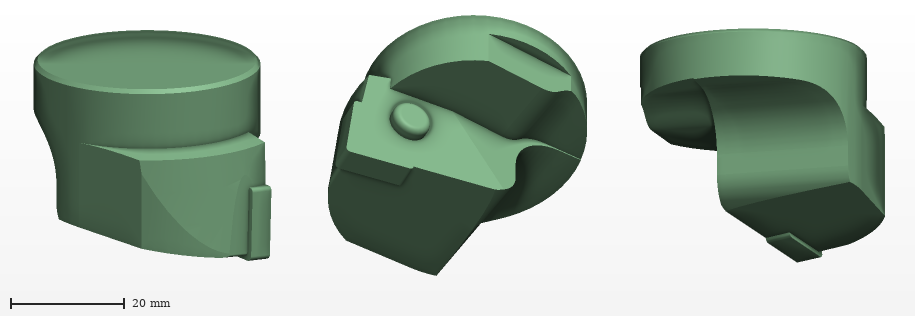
import cadquery as cq
import math


FAR = 70.3

disk_radius = 19.99
disk_chamfer = 0.7
drum_depth = 37.5

rim_depth = 8.5
underside_angle = 5.0
wall_x = -5.6
throat_radius = 10.2
throat_center_z = -19.2
heel_radius = 6.0
heel_center_z = -22.85

rear_wall_y = 4.95
rear_floor_z = -13.25
back_wall_y = 18.0
back_step_z = -5.7
rear_throat_x = -12.37
rear_throat_z = -17.5
rear_throat_radius = 8.45
rear_round_radius = 5.0

shoulder_z = -10.7
shoulder_radius = 24.0
shoulder_drop = 1.05
flare_angle = 6.3
side_center = (5.35, -1.3)
side_radius = 20.5
side_middle_angle = -35.0

nose = (26.95, 0.05, -32.1)
rake_slope_x = 0.148
rake_slope_z = 0.11
edge_drop = 0.1
insert_side = 13.05
insert_angle = 80.0
insert_thickness = 4.7
insert_corner_radius = 0.8
lower_overhang = 0.75
flank_overhang = 1.0
clearance_taper = 0.6
holder_nose_radius = 0.45

clamp_radius = 3.55
clamp_height = 2.5
clamp_fillet = 1.15
clamp_setback = 16.4

insert_plane = cq.Plane(
    origin=nose,
    xDir=(1, -rake_slope_x - rake_slope_z * edge_drop, -edge_drop),
    normal=(-rake_slope_x, -1, rake_slope_z),
)


def slab(x_range, y_range, z_range):
    """Axis-aligned block between the given limits."""
    corners = list(zip(x_range, y_range, z_range))
    size = [high - low for low, high in zip(*corners)]
    return cq.Workplane("XY").box(*size, centered=False).translate(corners[0])


def on_circle(center, radius, degrees):
    angle = math.radians(degrees)
    return (center[0] + radius * math.cos(angle), center[1] + radius * math.sin(angle))


def extrude_along_y(sketch, y_low, y_high):
    """Extrude an XZ sketch, whose normal is -Y, between two Y positions."""
    return sketch.extrude(y_high - y_low).translate((0, y_high, 0))


def rhombus(start_depth, side, lower_inset=0, flank_inset=0):
    """Outline at a depth below the rake face; the insets move the two cutting edges inwards."""
    angle = math.radians(insert_angle)
    corner_x = -(flank_inset + lower_inset * math.cos(angle)) / math.sin(angle)
    lean = -side * math.cos(angle)
    rise = side * math.sin(angle)
    points = [(0, 0), (lean, rise), (lean - side, rise), (-side, 0)]
    outline = [(x + corner_x, y + lower_inset) for x, y in points]
    return cq.Workplane(insert_plane).workplane(offset=start_depth).polyline(outline).close()


def make_insert():
    prism = rhombus(0, insert_side).extrude(insert_thickness)
    return prism.edges(cq.selectors.ParallelDirSelector(insert_plane.zDir)).fillet(insert_corner_radius)


def make_clearance():
    """Tapered prism inside which the holder stays, set back from the insert's cutting edges."""
    start_depth = -FAR / 2
    taper_slope = math.tan(math.radians(clearance_taper))
    taper_gain = (insert_thickness - start_depth) * taper_slope
    insets = (lower_overhang - taper_gain, flank_overhang - taper_gain)
    prism = rhombus(start_depth, 2 * FAR, *insets).extrude(FAR, taper=clearance_taper)
    return prism.edges(cq.selectors.NearestToPointSelector(nose)).fillet(holder_nose_radius)


def make_disk():
    drum = cq.Workplane("XY").circle(disk_radius).extrude(-drum_depth)
    return drum.faces(">Z").chamfer(disk_chamfer)


def make_block():
    """Block beside the drum: a flared turned body trimmed by a flat front and a round side."""
    rim_z = shoulder_z - shoulder_drop
    foot_radius = shoulder_radius + (drum_depth + rim_z) * math.tan(math.radians(flare_angle))
    turned = (
        cq.Workplane("XZ")
        .moveTo(0, shoulder_z)
        .lineTo(disk_radius, shoulder_z)
        .lineTo(shoulder_radius, rim_z)
        .lineTo(foot_radius, -drum_depth)
        .lineTo(0, -drum_depth)
        .close()
        .revolve(360, (0, 0, 0), (0, 1, 0))
    )
    side_x, side_y = side_center
    side_middle = on_circle(side_center, side_radius, side_middle_angle)
    front_x = side_x + math.sqrt(side_radius**2 - (disk_radius + side_y) ** 2)
    outline = (
        cq.Workplane("XY")
        .moveTo(0, -disk_radius)
        .lineTo(front_x, -disk_radius)
        .threePointArc(side_middle, (side_x + side_radius, side_y))
        .lineTo(side_x + side_radius, rear_wall_y)
        .lineTo(0, rear_wall_y)
        .close()
        .extrude(-drum_depth)
    )
    rake_side = cq.Workplane(insert_plane).rect(2 * FAR, 2 * FAR).extrude(FAR)
    return turned.intersect(outline).intersect(rake_side)


def underside_z(x):
    return -rim_depth - (x + disk_radius) * math.tan(math.radians(underside_angle))


def start_underside(throat_start):
    """Sketch from far left of the rim along the sloped underside to the throat."""
    left = -FAR
    return (
        cq.Workplane("XZ")
        .moveTo(left, 0)
        .lineTo(left, underside_z(left))
        .lineTo(*throat_start)
    )


def make_front_profile():
    throat = (wall_x - throat_radius, throat_center_z)
    heel = (wall_x + heel_radius, heel_center_z)
    heel_end = on_circle(heel, heel_radius, 270 - underside_angle)
    toe_z = heel_end[1] - (FAR - heel_end[0]) * math.tan(math.radians(underside_angle))
    sketch = (
        start_underside(on_circle(throat, throat_radius, 90 - underside_angle))
        .threePointArc(on_circle(throat, throat_radius, 45), (wall_x, throat_center_z))
        .lineTo(wall_x, heel_center_z)
        .threePointArc(on_circle(heel, heel_radius, 225), heel_end)
        .lineTo(FAR, toe_z)
        .lineTo(FAR, 0)
        .close()
    )
    return extrude_along_y(sketch, -FAR, rear_wall_y)


def make_rear_profile():
    """Rear part: a throat that rolls over into a flat floor."""
    throat = (rear_throat_x, rear_throat_z)
    round_z = rear_floor_z + rear_round_radius
    reach = rear_throat_radius + rear_round_radius
    turn = math.degrees(math.asin((round_z - rear_throat_z) / reach))
    round_center = on_circle(throat, reach, turn)
    middle = (90 - underside_angle + turn) / 2
    sketch = (
        start_underside(on_circle(throat, rear_throat_radius, 90 - underside_angle))
        .threePointArc(
            on_circle(throat, rear_throat_radius, middle),
            on_circle(throat, rear_throat_radius, turn),
        )
        .threePointArc(
            on_circle(round_center, rear_round_radius, (turn + 180 + 270) / 2),
            (round_center[0], rear_floor_z),
        )
        .lineTo(FAR, rear_floor_z)
        .lineTo(FAR, 0)
        .close()
    )
    return extrude_along_y(sketch, rear_wall_y, FAR)


def make_clamp():
    """Round clamp head behind the insert, on the bisector of its nose."""
    bisector = math.radians(180 - insert_angle / 2)
    center = (clamp_setback * math.cos(bisector), clamp_setback * math.sin(bisector))
    head = cq.Workplane(insert_plane).center(*center).circle(clamp_radius).extrude(-clamp_height)
    top = cq.selectors.DirectionMinMaxSelector(insert_plane.zDir, directionMax=False)
    return head.faces(top).edges().fillet(clamp_fillet)


def make_holder(insert):
    profile = make_front_profile().union(make_rear_profile())
    body = make_disk().union(make_block()).intersect(profile)
    back_step = slab((-FAR, FAR), (back_wall_y, FAR), (-FAR, back_step_z))
    rake_relief = cq.Workplane(insert_plane).rect(2 * FAR, 2 * FAR).extrude(-FAR)
    rake_relief = rake_relief.intersect(slab((-FAR, FAR), (-FAR, FAR), (-FAR, rear_floor_z)))
    body = body.cut(back_step).cut(rake_relief).intersect(make_clearance())
    return body.union(make_clamp()).cut(insert)


insert = make_insert()
holder = make_holder(insert)

result = cq.Compound.makeCompound([holder.solids().val(), insert.solids().val()])